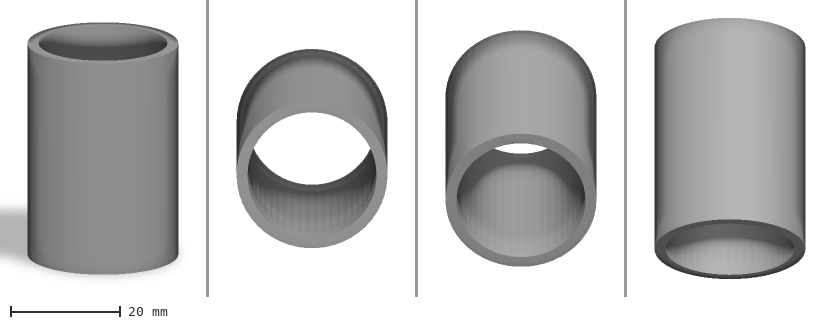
import cadquery as cq

length = 40.0
outer_diameter = 27.5
wall_thickness = 2.0
inner_diameter = outer_diameter - 2 * wall_thickness

result = (
    cq.Workplane("XY")
    .circle(outer_diameter / 2)
    .circle(inner_diameter / 2)
    .extrude(length)
)